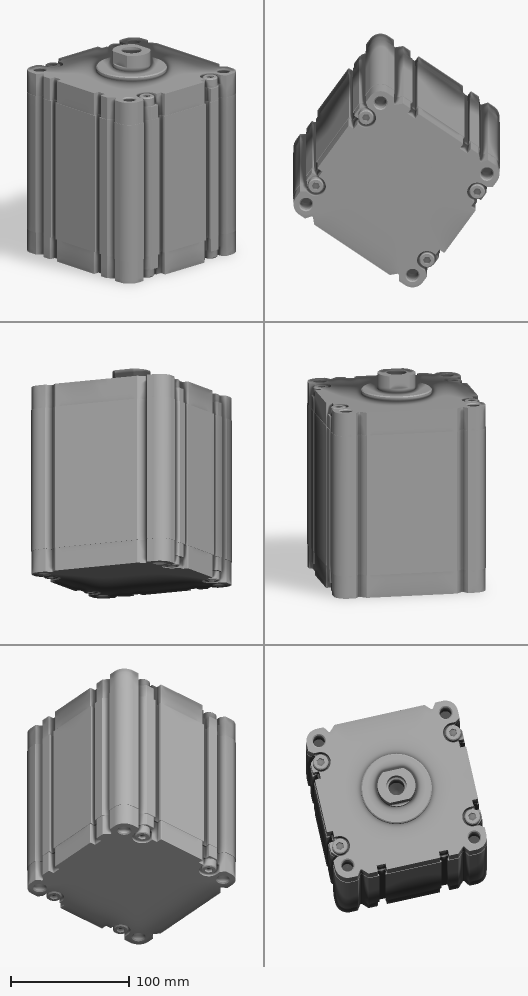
import cadquery as cq


WIDTH = 132.0
BODY_HEIGHT = 161.1
TOTAL_HEIGHT = 179.0
CAP_HEIGHT = 19.7
CAP_INSET = 0.4
BARREL_HALF = WIDTH / 2
CAP_HALF = BARREL_HALF - CAP_INSET
BARREL_HEIGHT = BODY_HEIGHT - 2 * CAP_HEIGHT

CORNER_CENTRE = 54.8
MOUNT_OFFSET = 55.0
MOUNT_HOLE_D = 10.0
MOUNT_CHAMFER_D = 12.0
MOUNT_CHAMFER_ANGLE = 90

GROOVE_DEPTH = 5.0
GROOVE_OUTER = 48.3
GROOVE_ROOT_OUTER = 45.3
GROOVE_ROOT_INNER = 43.5
GROOVE_ROOT_RISE = 0.5
GROOVE_INNER = 39.0

SLOT_OFFSET = 27.0
SLOT_NECK = 5.5
SLOT_LIP = 1.6
SLOT_WIDTH = 7.0
SLOT_DEPTH = 4.1
CAP_SLOT_WIDTH = 7.7
CAP_SLOT_DEPTH = 5.5
CAP_EDGE_RADIUS = 0.7

SCREW_X = 57.5
SCREW_Y = 37.0
RECESS_D = 17.0
RECESS_DEPTH = 8.0
HEAD_D = 13.0
HEAD_TOP_D = 11.5
HEAD_CHAMFER = (HEAD_D - HEAD_TOP_D) / 2
HEAD_SINK = 0.4
HEAD_HEIGHT = RECESS_DEPTH - HEAD_SINK
SOCKET_FLATS = 6.0
SOCKET_DEPTH = 3.5
HEX_CORNERS_PER_FLATS = 2 / 3 ** 0.5

COLLAR_D = 60.0
COLLAR_HEIGHT = 4.0
COLLAR_CHAMFER = 0.9

ROD_D = 32.0
ROD_BOTTOM = BODY_HEIGHT - CAP_HEIGHT
ROD_FLATS = 27.0
ROD_FLAT_HEIGHT = 10.7
ROD_RELIEF_D = 17.0
ROD_RELIEF_DEPTH = 7.7
ROD_THREAD_D = 13.8
ROD_THREAD_DEPTH = 25.0
CONE_SLOPE = 1 / 3 ** 0.5


def turn_to_side(shape, side):
    """Turn a shape made for the -Y side by a number of quarter turns to another side."""
    return shape.rotate((0, 0, 0), (0, 0, 1), 90 * side)


def groove_cutter(inset, sign, height):
    """V groove with a rounded root, right (sign = 1) or left (sign = -1) on the -Y side."""
    deepest = GROOVE_DEPTH + inset - BARREL_HALF
    root_end = deepest - GROOVE_ROOT_RISE
    root_middle = (GROOVE_ROOT_OUTER + GROOVE_ROOT_INNER) / 2
    return (
        cq.Workplane("XY")
        .moveTo(sign * (GROOVE_OUTER + inset), -BARREL_HALF)
        .lineTo(sign * GROOVE_ROOT_OUTER, root_end)
        .threePointArc((sign * root_middle, deepest), (sign * GROOVE_ROOT_INNER, root_end))
        .lineTo(sign * (GROOVE_INNER - inset), -BARREL_HALF)
        .close()
        .extrude(height)
    )


def profile_block(half, height):
    """Square block with rounded corners and a V groove beside each corner on every side."""
    block = cq.Workplane("XY").rect(2 * half, 2 * half).extrude(height)
    block = block.edges("|Z").fillet(half - CORNER_CENTRE)
    for side in range(4):
        for sign in (-1, 1):
            groove = groove_cutter(BARREL_HALF - half, sign, height)
            block = block.cut(turn_to_side(groove, side))
    return block


def slot_cutter(offset, width, depth_from, depth_to, height):
    """Step of a sensor slot, between two depths below the -Y barrel face."""
    depth = depth_to - depth_from
    middle = (depth_from + depth_to) / 2 - BARREL_HALF
    return cq.Workplane("XY").center(offset, middle).rect(width, depth).extrude(height)


def cut_slots(block, height, steps):
    """Cut the slots, each made of (width, depth from, depth to) steps, in the -Y, +X and -X sides."""
    for side in (0, 1, 3):
        for offset in (-SLOT_OFFSET, SLOT_OFFSET):
            for width, depth_from, depth_to in steps:
                step = slot_cutter(offset, width, depth_from, depth_to, height)
                block = block.cut(turn_to_side(step, side))
    return block


def make_barrel():
    barrel = profile_block(BARREL_HALF, BARREL_HEIGHT)
    steps = [(SLOT_NECK, 0, SLOT_LIP), (SLOT_WIDTH, SLOT_LIP, SLOT_DEPTH)]
    return cut_slots(barrel, BARREL_HEIGHT, steps).translate((0, 0, CAP_HEIGHT))


def make_screw_head():
    """Socket head standing on the floor of its recess."""
    head = cq.Workplane("XY").circle(HEAD_D / 2).extrude(HEAD_HEIGHT)
    head = head.faces(">Z").chamfer(HEAD_CHAMFER)
    socket = (
        cq.Workplane("XY", origin=(0, 0, HEAD_HEIGHT - SOCKET_DEPTH))
        .polygon(6, SOCKET_FLATS * HEX_CORNERS_PER_FLATS)
        .extrude(SOCKET_DEPTH)
        .rotate((0, 0, 0), (0, 0, 1), 90)
    )
    return head.cut(socket)


def make_screw_recess(side):
    """Round recess that runs out through the -X (side = -1) or +X (side = 1) face."""
    round_end = cq.Workplane("XY").circle(RECESS_D / 2).extrude(RECESS_DEPTH)
    run_out = (
        cq.Workplane("XY")
        .center(side * RECESS_D / 2, 0)
        .rect(RECESS_D, RECESS_D)
        .extrude(RECESS_DEPTH)
    )
    return round_end.union(run_out)


def is_mouth_edge(edge):
    """True for the upright edges of a cap's side face between its two V grooves."""
    centre = edge.Center()
    along, outward = sorted((abs(centre.x), abs(centre.y)))
    on_side_face = abs(outward - CAP_HALF) < CAP_INSET / 2
    return on_side_face and along < GROOVE_ROOT_INNER


def make_cap():
    """Upper end cap with its outer face at BODY_HEIGHT."""
    cap = profile_block(CAP_HALF, CAP_HEIGHT)
    cap = cut_slots(cap, CAP_HEIGHT, [(CAP_SLOT_WIDTH, 0, CAP_SLOT_DEPTH)])
    cap = cap.edges("|Z").filter(is_mouth_edge).fillet(CAP_EDGE_RADIUS)
    cap = (
        cap.faces(">Z").workplane(origin=(0, 0, 0))
        .rect(2 * MOUNT_OFFSET, 2 * MOUNT_OFFSET, forConstruction=True)
        .vertices()
        .cskHole(MOUNT_HOLE_D, MOUNT_CHAMFER_D, MOUNT_CHAMFER_ANGLE)
    )
    recess_floor = CAP_HEIGHT - RECESS_DEPTH
    head = make_screw_head()
    for side in (-1, 1):
        recess = make_screw_recess(side)
        for y in (-SCREW_Y, SCREW_Y):
            place = (side * SCREW_X, y, recess_floor)
            cap = cap.cut(recess.translate(place)).union(head.translate(place))
    return cap.translate((0, 0, BODY_HEIGHT - CAP_HEIGHT))


def rod_cylinder():
    """Full round of the rod, which is also the bore that holds it."""
    length = TOTAL_HEIGHT - ROD_BOTTOM
    return cq.Workplane("XY", origin=(0, 0, ROD_BOTTOM)).circle(ROD_D / 2).extrude(length)


def make_housing():
    upper_cap = make_cap()
    lower_cap = upper_cap.mirror("XY").translate((0, 0, BODY_HEIGHT))
    collar = (
        cq.Workplane("XY", origin=(0, 0, BODY_HEIGHT))
        .circle(COLLAR_D / 2)
        .extrude(COLLAR_HEIGHT)
        .faces(">Z")
        .chamfer(COLLAR_CHAMFER)
    )
    return make_barrel().union(upper_cap).union(lower_cap).union(collar).cut(rod_cylinder())


def make_rod():
    rod = rod_cylinder()
    flat_centre_z = TOTAL_HEIGHT - ROD_FLAT_HEIGHT / 2
    for sign in (-1, 1):
        waste = cq.Workplane("XY").box(ROD_D, ROD_D, ROD_FLAT_HEIGHT)
        rod = rod.cut(waste.translate((0, sign * (ROD_FLATS + ROD_D) / 2, flat_centre_z)))
    relief_bottom = TOTAL_HEIGHT - ROD_RELIEF_DEPTH
    thread_bottom = TOTAL_HEIGHT - ROD_THREAD_DEPTH
    hole_section = [
        (0, TOTAL_HEIGHT),
        (ROD_RELIEF_D / 2, TOTAL_HEIGHT),
        (ROD_RELIEF_D / 2, relief_bottom),
        (ROD_THREAD_D / 2, relief_bottom - CONE_SLOPE * (ROD_RELIEF_D - ROD_THREAD_D) / 2),
        (ROD_THREAD_D / 2, thread_bottom),
        (0, thread_bottom - CONE_SLOPE * ROD_THREAD_D / 2),
    ]
    hole = cq.Workplane("XZ").polyline(hole_section).close().revolve(360, (0, 0, 0), (0, 1, 0))
    return rod.cut(hole)


housing = make_housing()
rod = make_rod()
result = cq.Compound.makeCompound([housing.val(), rod.val()])